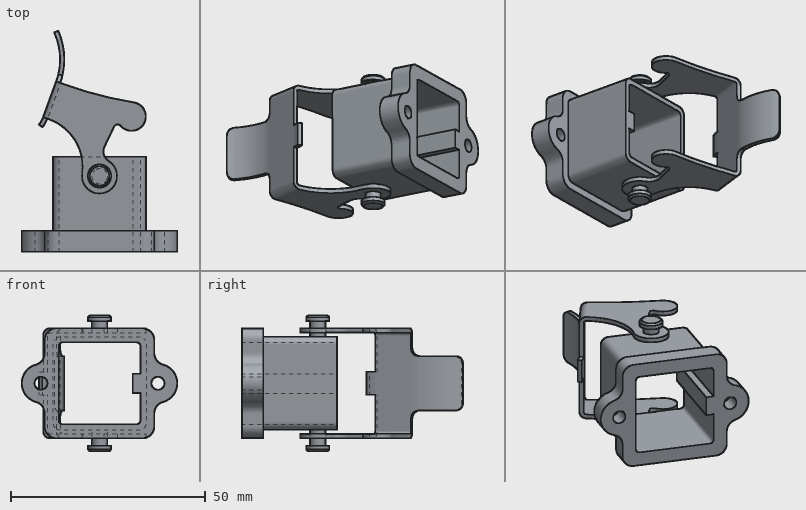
import cadquery as cq
import math

FLANGE_HALF = 14.1
FLANGE_CORNER_RADIUS = 3.0
FLANGE_THICKNESS = 5.5
EAR_X = 15.0
EAR_RADIUS = 5.0
EAR_BLEND_RADIUS = 3.0
SCREW_HOLE_DIAMETER = 3.3

TUBE_SIDE = 24.0
TUBE_CORNER_RADIUS = 2.0
HOUSING_LENGTH = 24.5
BORE_SIDE = 21.0
BORE_CORNER_RADIUS = 1.0
KEY_WIDTH = 5.0
KEY_HEIGHT = 2.0

PIN_Y = 19.5
PIN_DIAMETER = 4.0
PIN_TOP = 17.5
HEAD_DIAMETER = 6.0
HEAD_HEIGHT = 1.5
HEAD_CHAMFER = 0.5

LEVER_TILT = 20.0
SHEET = 1.15
LEVER_HALF = 14.15
LEVER_REACH = 60.0
BEND_RADIUS = 1.9
SPINE_X = -18.8
SPINE_BOTTOM = 9.25
SPINE_TOP = 19.05
LUG_RADIUS = 4.5
NECK_RADIUS = 3.0
NECK_X = 1.64
INNER_EDGE_RADIUS = 13.0
OUTER_EDGE_RADIUS = 100.0
HOOK_RADIUS = 3.7
HOOK_X = 2.5
NOTCH_RADIUS = 1.0
NOTCH_X = 0.2
HANDLE_WIDTH = 14.0
HANDLE_RADIUS = 16.5
HANDLE_SWEEP = 44.7
HANDLE_CORNER_RADIUS = 2.0
HANDLE_ROOT_RADIUS = 2.0
CATCH_WIDTH = 6.0
CATCH_RADIUS = 7.0
CATCH_SWEEP = 18.0


def toward(start, end, distance):
    """Point at a distance from start on the line to end."""
    length = math.dist(start, end)
    return tuple(s + (e - s) * distance / length for s, e in zip(start, end))


def polar(center, radius, degrees):
    angle = math.radians(degrees)
    return (center[0] + radius * math.cos(angle), center[1] + radius * math.sin(angle))


def heading(start, end):
    """Direction from start to end, in degrees."""
    return math.degrees(math.atan2(end[1] - start[1], end[0] - start[0]))


def meeting_y(center, distance, x, side):
    """Y of the point at x that lies a distance from center, above (1) or below (-1) it."""
    return center[1] + side * math.sqrt(distance**2 - (x - center[0]) ** 2)


def front_plane():
    """Workplane on the front face, with local axes X and Z; extruding by -depth goes toward +Y."""
    return cq.Workplane("XZ")


def rounded_square(side, radius, depth):
    """Square bar with round corners that runs from the front face toward +Y."""
    return front_plane().rect(side, side).extrude(-depth).edges("|Y").fillet(radius)


def make_flange():
    """Rounded square plate with a blended screw ear on each side."""
    blend_x = FLANGE_HALF + EAR_BLEND_RADIUS
    blend_z = meeting_y((EAR_X, 0), EAR_RADIUS + EAR_BLEND_RADIUS, blend_x, 1)
    blend_center = (blend_x, blend_z)
    ear_end = toward((EAR_X, 0), blend_center, EAR_RADIUS)
    blend_end_angle = heading(blend_center, ear_end) % 360
    blend_middle = polar(blend_center, EAR_BLEND_RADIUS, (180 + blend_end_angle) / 2)
    ear = (
        front_plane()
        .moveTo(BORE_SIDE / 2, blend_z)
        .lineTo(FLANGE_HALF, blend_z)
        .threePointArc(blend_middle, ear_end)
        .threePointArc((EAR_X + EAR_RADIUS, 0), (ear_end[0], -ear_end[1]))
        .threePointArc((blend_middle[0], -blend_middle[1]), (FLANGE_HALF, -blend_z))
        .lineTo(BORE_SIDE / 2, -blend_z)
        .close()
        .extrude(-FLANGE_THICKNESS)
    )
    plate = rounded_square(2 * FLANGE_HALF, FLANGE_CORNER_RADIUS, FLANGE_THICKNESS)
    screw_holes = (
        front_plane()
        .pushPoints([(EAR_X, 0), (-EAR_X, 0)])
        .circle(SCREW_HOLE_DIAMETER / 2)
        .extrude(-FLANGE_THICKNESS)
    )
    return plate.union(ear).union(ear.mirror("YZ")).cut(screw_holes)


def keyed_bore():
    """Square through-opening with the key left standing on its +X wall."""
    key = (
        front_plane()
        .center((BORE_SIDE - KEY_HEIGHT) / 2, 0)
        .rect(KEY_HEIGHT, KEY_WIDTH)
        .extrude(-HOUSING_LENGTH)
    )
    return rounded_square(BORE_SIDE, BORE_CORNER_RADIUS, HOUSING_LENGTH).cut(key)


def make_pin():
    """Pin that stands on the top wall of the tube, with a chamfered head."""
    base = TUBE_SIDE / 2
    shank = (
        cq.Workplane("XY", origin=(0, PIN_Y, base)).circle(PIN_DIAMETER / 2).extrude(PIN_TOP - base)
    )
    head = (
        cq.Workplane("XY", origin=(0, PIN_Y, PIN_TOP - HEAD_HEIGHT))
        .circle(HEAD_DIAMETER / 2)
        .extrude(HEAD_HEIGHT)
        .faces(">Z")
        .chamfer(HEAD_CHAMFER)
    )
    return shank.union(head)


def make_housing():
    """Flange, tube and both pivot pins."""
    tube = rounded_square(TUBE_SIDE, TUBE_CORNER_RADIUS, HOUSING_LENGTH)
    pin = make_pin()
    return make_flange().union(tube).cut(keyed_bore()).union(pin).union(pin.mirror("XY"))


def arm_outline():
    """Lever arm with its lug, inner edge, spine, outer edge, hook, notch and neck."""
    pivot = (0, 0)
    bend_x = SPINE_X + BEND_RADIUS

    inner_y = SPINE_BOTTOM - INNER_EDGE_RADIUS
    inner_x = -math.sqrt((LUG_RADIUS + INNER_EDGE_RADIUS) ** 2 - inner_y**2)
    inner_center = (inner_x, inner_y)
    inner_angle = heading(inner_center, pivot)
    lug_start = toward(pivot, inner_center, LUG_RADIUS)

    outer_center = (bend_x, SPINE_TOP + OUTER_EDGE_RADIUS)
    hook = (HOOK_X, meeting_y(outer_center, OUTER_EDGE_RADIUS + HOOK_RADIUS, HOOK_X, -1))
    outer_angle = heading(outer_center, hook)

    notch = (NOTCH_X, meeting_y(hook, HOOK_RADIUS + NOTCH_RADIUS, NOTCH_X, -1))
    neck = (NECK_X, meeting_y(pivot, LUG_RADIUS + NECK_RADIUS, NECK_X, 1))
    lean = (NECK_RADIUS - NOTCH_RADIUS) / math.dist(neck, notch)
    edge_angle = heading(neck, notch) + math.degrees(math.acos(lean))
    notch_angle = heading(notch, hook)
    neck_angle = heading(neck, pivot) + 360

    return (
        cq.Workplane("XY", origin=(0, 0, -LEVER_HALF))
        .moveTo(*lug_start)
        .threePointArc(
            polar(inner_center, INNER_EDGE_RADIUS, (inner_angle + 90) / 2), (inner_x, SPINE_BOTTOM)
        )
        .lineTo(SPINE_X, SPINE_BOTTOM)
        .lineTo(SPINE_X, SPINE_TOP)
        .lineTo(bend_x, SPINE_TOP)
        .threePointArc(
            polar(outer_center, OUTER_EDGE_RADIUS, (outer_angle - 90) / 2),
            polar(outer_center, OUTER_EDGE_RADIUS, outer_angle),
        )
        .threePointArc((HOOK_X + HOOK_RADIUS, hook[1]), toward(hook, notch, HOOK_RADIUS))
        .threePointArc(
            polar(notch, NOTCH_RADIUS, (notch_angle + edge_angle) / 2),
            polar(notch, NOTCH_RADIUS, edge_angle),
        )
        .lineTo(*polar(neck, NECK_RADIUS, edge_angle))
        .threePointArc(
            polar(neck, NECK_RADIUS, (edge_angle + neck_angle) / 2),
            toward(pivot, neck, LUG_RADIUS),
        )
        .threePointArc((0, -LUG_RADIUS), lug_start)
        .close()
    )


def curved_tab(radius, sweep, width, corner_radius=0.0):
    """Strip of sheet that rises from the spine plane at Y = 0 and curls outward to its tip."""
    outer_radius = radius + SHEET
    strip = (
        cq.Workplane("XY", origin=(0, 0, -width / 2))
        .moveTo(radius, 0)
        .lineTo(outer_radius, 0)
        .threePointArc(polar((0, 0), outer_radius, -sweep / 2), polar((0, 0), outer_radius, -sweep))
        .lineTo(*polar((0, 0), radius, -sweep))
        .threePointArc(polar((0, 0), radius, -sweep / 2), (radius, 0))
        .close()
        .extrude(width)
    )
    if corner_radius:
        strip = strip.edges("|X and >Y").fillet(corner_radius)
    return strip.rotate((0, 0, 0), (0, 0, 1), sweep).translate((SPINE_X - radius, 0, 0))


def make_handle():
    """Finger handle with rounded tip corners, flared where it leaves the spine."""
    handle = curved_tab(HANDLE_RADIUS, HANDLE_SWEEP, HANDLE_WIDTH, HANDLE_CORNER_RADIUS)
    flare_sweep = math.degrees(math.asin(HANDLE_ROOT_RADIUS / (HANDLE_RADIUS + SHEET)))
    flare_width = HANDLE_WIDTH + 2 * HANDLE_ROOT_RADIUS
    scallops = (
        cq.Workplane("YZ")
        .pushPoints([(HANDLE_ROOT_RADIUS, -flare_width / 2), (HANDLE_ROOT_RADIUS, flare_width / 2)])
        .circle(HANDLE_ROOT_RADIUS)
        .extrude(2 * SPINE_X)
    )
    flare = curved_tab(HANDLE_RADIUS, flare_sweep, flare_width).cut(scallops)
    return handle.union(flare).translate((0, SPINE_TOP, 0))


def make_lever():
    """U-shaped lever with a curved finger handle, a small catch and the pivot holes."""
    bracket = arm_outline().extrude(2 * LEVER_HALF)
    bracket = bracket.edges("|Y and <X").fillet(BEND_RADIUS)
    inside = (
        cq.Workplane("XY", origin=(SPINE_X + SHEET, 0, 0))
        .box(LEVER_REACH, LEVER_REACH, 2 * (LEVER_HALF - SHEET), centered=(False, True, True))
        .edges("|Y and <X")
        .fillet(BEND_RADIUS - SHEET)
    )
    catch = curved_tab(CATCH_RADIUS, CATCH_SWEEP, CATCH_WIDTH).mirror("XZ")
    catch = catch.translate((0, SPINE_BOTTOM, 0))
    lever = bracket.cut(inside).union(make_handle()).union(catch)
    pivot_hole = cq.Workplane("XY").circle(PIN_DIAMETER / 2).extrude(LEVER_HALF, both=True)
    lever = lever.cut(pivot_hole)
    return lever.rotate((0, 0, 0), (0, 0, 1), -LEVER_TILT).translate((0, PIN_Y, 0))


housing = make_housing()
lever = make_lever()

result = cq.Compound.makeCompound([housing.val(), lever.val()])